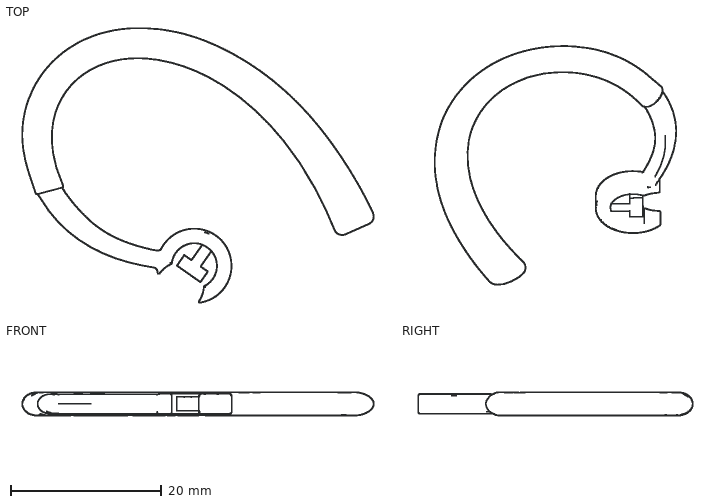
import cadquery as cq
import math


sleeve_height = 3.15
sleeve_path = [
    (-19.85, -3.33),
    (-21.55, 3.85),
    (-19.65, 10.55),
    (-14.55, 14.95),
    (-6.4, 16.25),
    (1.55, 14.0),
    (8.55, 9.4),
    (14.2, 3.45),
    (18.1, -2.45),
    (20.55, -7.4),
]
sleeve_widths = [3.85, 3.95, 4.0, 4.0, 4.05, 4.15, 4.3, 4.6, 4.85, 5.2, 5.6]
tip_radius = 1.12
tip_sections = 6
joint_fillet = 0.15
joint_angle = -75.0

arm_height = 2.58
arm_widths = [3.35, 3.2, 2.9, 2.6, 2.45, 2.35]

ring_center = (-0.65, -13.3)
ring_outer_radius = 4.95
ring_bore_radius = 3.0
ring_height = 2.65
ring_fillet = 0.3
tip_edge_fillet = 0.15
opening_angle = 235.0
tip_half_angle = 40.0
bore_half_angle = 60.0
cut_bulge = 0.2

arm_path = [
    sleeve_path[0],
    (-16.75, -7.25),
    (-13.5, -9.8),
    (-9.65, -11.48),
    (-4.9, -12.55),
]
flare_fillet = 0.55
arm_root = (-5.45, -12.55)
root_half_x = 0.4
root_half_y = 1.3

key_height = 1.87
key_bar_length = 3.85
key_bar_bottom = -1.3
key_bar_top = 0.4
key_stem_width = 1.5


def polar(radius, angle):
    """Point at an angle in degrees around the origin."""
    return (radius * math.cos(math.radians(angle)), radius * math.sin(math.radians(angle)))


def ellipse_section(point, direction, width, height):
    """Elliptical wire across the path, its width in the XY plane and its height along Z."""
    across = cq.Vector(direction.y, -direction.x, 0)
    return cq.Wire.makeEllipse(width / 2, height / 2, point, direction, across)


def path_spline(path):
    """Smooth curve through the path points, in the plane Z = 0."""
    return cq.Edge.makeSpline([cq.Vector(x, y, 0) for x, y in path])


def lofted_rod(path, widths, height, joint_direction):
    """Solid from the sleeve-arm joint face through elliptical sections evenly spaced along a path."""
    spine = path_spline(path)
    fractions = [i / (len(widths) - 1) for i in range(len(widths))]
    points = spine.positions(fractions)
    directions = [joint_direction] + spine.tangents(fractions)[1:]
    sections = [ellipse_section(p, d, w, height) for p, d, w in zip(points, directions, widths)]
    return cq.Workplane(cq.Solid.makeLoft(sections))


joint_normal = cq.Vector(*polar(1, joint_angle), 0)


def make_sleeve_tip():
    """Rounded free end: elliptical sections that shrink along a quarter circle."""
    spine = path_spline(sleeve_path)
    outward = spine.tangentAt(1)
    sections = []
    for i in range(tip_sections):
        angle = math.pi / 2 * i / (tip_sections - 1)
        point = spine.positionAt(1) + outward * (tip_radius * math.sin(angle))
        shrink = 2 * tip_radius * (1 - math.cos(angle))
        sections.append(ellipse_section(point, outward, sleeve_widths[-1] - shrink, sleeve_height - shrink))
    return cq.Workplane(cq.Solid.makeLoft(sections))


def make_sleeve():
    """Sleeve with a slightly rounded joint edge and a rounded free end."""
    rod = lofted_rod(sleeve_path, sleeve_widths, sleeve_height, joint_normal * -1)
    joint_face = cq.selectors.NearestToPointSelector((*sleeve_path[0], 0))
    return rod.faces(joint_face).edges().fillet(joint_fillet).union(make_sleeve_tip())


def end_face_middle(side):
    """Middle point of the bulging end face on one side of the opening."""
    tip = polar(ring_outer_radius, opening_angle + side * tip_half_angle)
    corner = polar(ring_bore_radius, opening_angle + side * bore_half_angle)
    chord = (corner[0] - tip[0], corner[1] - tip[1])
    shift = side * cut_bulge / math.hypot(*chord)
    return ((tip[0] + corner[0]) / 2 + shift * chord[1], (tip[1] + corner[1]) / 2 - shift * chord[0])


def make_plain_ring():
    """Open ring with sharp edges, centred on the origin."""
    return (
        cq.Workplane("XY", origin=(0, 0, -ring_height / 2))
        .moveTo(*polar(ring_outer_radius, opening_angle + tip_half_angle))
        .threePointArc(
            polar(ring_outer_radius, opening_angle + 180),
            polar(ring_outer_radius, opening_angle - tip_half_angle),
        )
        .threePointArc(end_face_middle(-1), polar(ring_bore_radius, opening_angle - bore_half_angle))
        .threePointArc(
            polar(ring_bore_radius, opening_angle + 180),
            polar(ring_bore_radius, opening_angle + bore_half_angle),
        )
        .threePointArc(end_face_middle(1), polar(ring_outer_radius, opening_angle + tip_half_angle))
        .close()
        .extrude(ring_height)
    )


def make_ring():
    """Open ring in its place, with rounded tips and rounded top and bottom edges."""
    ring = make_plain_ring()
    for side in (-1, 1):
        tip = polar(ring_outer_radius, opening_angle + side * tip_half_angle)
        ring = ring.edges(cq.selectors.NearestToPointSelector((*tip, 0))).fillet(tip_edge_fillet)
    return ring.faces("|Z").edges().fillet(ring_fillet).translate((*ring_center, 0))


def make_holder():
    """Arm and clip ring in one piece, with a flare where they meet."""
    arm = lofted_rod(arm_path, arm_widths, arm_height, joint_normal)
    holder = make_ring().union(arm)
    near_root = cq.selectors.BoxSelector(
        (arm_root[0] - root_half_x, arm_root[1] - root_half_y, -ring_height / 2),
        (arm_root[0] + root_half_x, arm_root[1] + root_half_y, ring_height / 2),
    )
    return holder.edges("%BSPLINE").edges(near_root).fillet(flare_fillet)


def make_key():
    """T-shaped key whose stem ends on the bore of the ring."""
    bar = cq.Workplane("XY").box(key_bar_top - key_bar_bottom, key_bar_length, key_height)
    bar = bar.translate(((key_bar_top + key_bar_bottom) / 2, 0, 0))
    stem = cq.Workplane("XY").box(ring_outer_radius, key_stem_width, key_height, centered=(False, True, True))
    bore = cq.Workplane("XY").circle(ring_bore_radius).extrude(key_height, both=True)
    key = bar.union(stem.intersect(bore))
    return key.rotate((0, 0, 0), (0, 0, 1), opening_angle - 180).translate((*ring_center, 0))


sleeve = make_sleeve()
holder = make_holder()
key = make_key()

result = cq.Compound.makeCompound([sleeve.val(), holder.val(), key.val()])